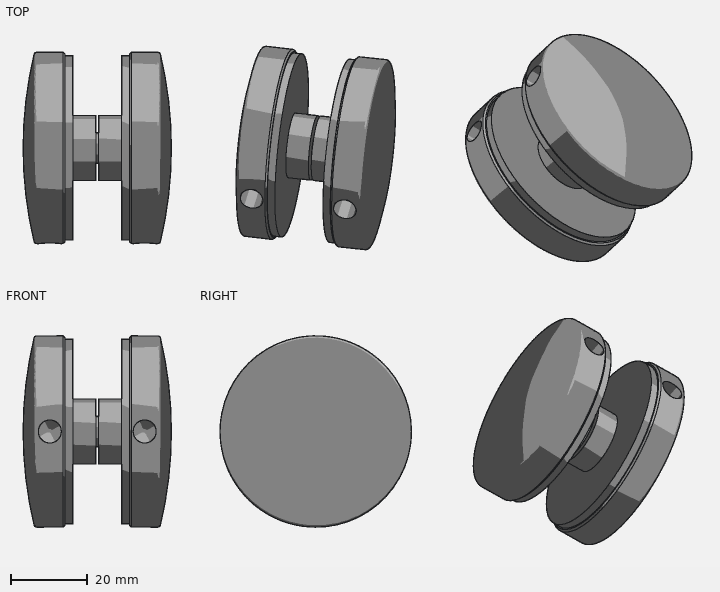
import cadquery as cq
import math

BUSH_GAP = 0.76
BOSS_DIAMETER = 17.0
BOSS_LENGTH = 6.0
FLANGE_DIAMETER = 48.2
FLANGE_THICKNESS = 2.0
STUD_DIAMETER = 8.0
CAP_DIAMETER = 50.0
CAP_RIM_WIDTH = 8.0
DOME_HEIGHT = 3.0
FRONT_EDGE_RADIUS = 0.75
BACK_CHAMFER = 0.5
SPANNER_HOLE_DIAMETER = 6.0
SPANNER_HOLE_DEPTH = 8.0
DRILL_POINT_ANGLE = 118.0

boss_face = BUSH_GAP / 2
flange_face = boss_face + BOSS_LENGTH
cap_back = flange_face + FLANGE_THICKNESS
rim_front = cap_back + CAP_RIM_WIDTH
dome_top = rim_front + DOME_HEIGHT

cap_radius = CAP_DIAMETER / 2
dome_radius = (cap_radius**2 + DOME_HEIGHT**2) / (2 * DOME_HEIGHT)


def spin_about_x(profile):
    """Turn a closed XY profile about the X axis."""
    return profile.revolve(360, (0, 0, 0), (1, 0, 0))


def make_stud():
    """Plain stud running through both bushes, ending flush with their flanges."""
    stud_start = cq.Workplane("YZ").workplane(offset=-cap_back)
    return stud_start.circle(STUD_DIAMETER / 2).extrude(2 * cap_back)


def make_bush():
    """Flanged bush on the +X side, bored for the stud."""
    bore_radius = STUD_DIAMETER / 2
    profile = (
        cq.Workplane("XY")
        .moveTo(boss_face, bore_radius)
        .lineTo(boss_face, BOSS_DIAMETER / 2)
        .lineTo(flange_face, BOSS_DIAMETER / 2)
        .lineTo(flange_face, FLANGE_DIAMETER / 2)
        .lineTo(cap_back, FLANGE_DIAMETER / 2)
        .lineTo(cap_back, bore_radius)
        .close()
    )
    return spin_about_x(profile)


def make_spanner_hole():
    """Blind drilled hole entering the rim from -Y, with a conical bottom."""
    hole_radius = SPANNER_HOLE_DIAMETER / 2
    point_length = hole_radius / math.tan(math.radians(DRILL_POINT_ANGLE / 2))
    hole_x = cap_back + CAP_RIM_WIDTH / 2
    shoulder_y = -cap_radius + SPANNER_HOLE_DEPTH
    return (
        cq.Workplane("XY")
        .moveTo(hole_x, -cap_radius)
        .lineTo(hole_x + hole_radius, -cap_radius)
        .lineTo(hole_x + hole_radius, shoulder_y)
        .lineTo(hole_x, shoulder_y + point_length)
        .close()
        .revolve(360, (hole_x, 0, 0), (hole_x, 1, 0))
    )


def make_cap():
    """Domed cap on the +X side with a rounded front edge, a chamfered back edge and a spanner hole."""
    half_edge_angle = math.asin(cap_radius / dome_radius) / 2
    dome_mid_x = dome_top - dome_radius * (1 - math.cos(half_edge_angle))
    dome_mid_y = dome_radius * math.sin(half_edge_angle)
    profile = (
        cq.Workplane("XY")
        .moveTo(cap_back, 0)
        .lineTo(cap_back, cap_radius)
        .lineTo(rim_front, cap_radius)
        .threePointArc((dome_mid_x, dome_mid_y), (dome_top, 0))
        .close()
    )
    cap = spin_about_x(profile)
    cap = cap.faces("<X").edges().chamfer(BACK_CHAMFER)
    front_edge = cq.selectors.RadiusNthSelector(0)
    cap = cap.faces(">X").edges(front_edge).fillet(FRONT_EDGE_RADIUS)
    return cap.cut(make_spanner_hole())


stud = make_stud()
bodies = [stud.val()]
for half_body in (make_bush(), make_cap()):
    bodies.append(half_body.val())
    bodies.append(half_body.mirror("YZ").val())

result = cq.Compound.makeCompound(bodies)